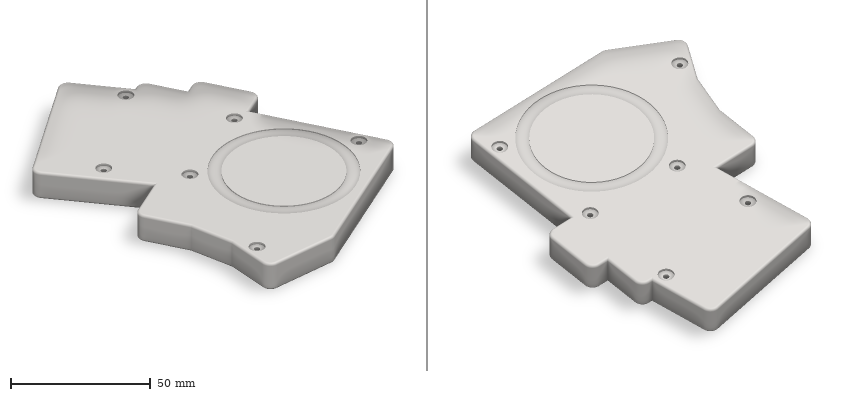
import cadquery as cq
import math

overall_length = 126.4
thickness = 11.4
corner_radius = 3.7
rim_round = 1.0

back_y = 32.4
tab_left_x = -50.3
tab_right_x = -25.2
tab_y = 44.6
step_left_x = -68.6
step_y = 36.9
notch_x = -41.0
front_y = -44.5

wing_tilt = 10.0
wing_width = 59.8
wing_corner = (-95.7, 27.0)

bend_angle = 15.0
first_bend_x = -19.3
second_bend_x = -2.0
tip_x = 16.2

ring_outer_diameter = 55.0
ring_inner_diameter = 45.0
ring_depth = 0.5

hole_diameter = 2.3
counterbore_diameter = 6.1
counterbore_depth = 1.0
hole_centers = [
    (-70.2, 26.4),
    (-28.5, 25.9),
    (18.6, 27.7),
    (-31.0, -13.7),
    (-61.4, -20.6),
    (7.7, -49.2),
]


def point_at_x(start, angle, x):
    """Point at the given x on the line through start at an angle in degrees."""
    return (x, start[1] + (x - start[0]) * math.tan(math.radians(angle)))


tilt = math.radians(wing_tilt)
wing_front_corner = (
    wing_corner[0] + wing_width * math.sin(tilt),
    wing_corner[1] - wing_width * math.cos(tilt),
)
wing_back_end = point_at_x(wing_corner, wing_tilt, step_left_x)
wing_front_end = point_at_x(wing_front_corner, wing_tilt, notch_x)

left_x = wing_corner[0] + corner_radius * (math.cos(tilt) + math.sin(tilt) - 1)
right_x = left_x + overall_length

first_bend = (first_bend_x, front_y)
second_bend = point_at_x(first_bend, -bend_angle, second_bend_x)
tip = point_at_x(second_bend, -2 * bend_angle, tip_x)
thumb_corner = point_at_x(tip, 90 - 2 * bend_angle, right_x)

outline = [
    (wing_corner, True),
    (wing_back_end, False),
    ((step_left_x, step_y), True),
    ((tab_left_x, step_y), False),
    ((tab_left_x, tab_y), True),
    ((tab_right_x, tab_y), True),
    ((tab_right_x, back_y), False),
    ((right_x, back_y), True),
    (thumb_corner, True),
    (tip, True),
    (second_bend, False),
    (first_bend, False),
    ((notch_x, front_y), True),
    (wing_front_end, False),
    (wing_front_corner, True),
]


def make_plate():
    """Plate with its outer corners and its top and bottom rims rounded."""
    plate = cq.Workplane("XY").polyline([corner for corner, _ in outline]).close().extrude(thickness)
    rounded_edges = [
        plate.edges(cq.selectors.NearestToPointSelector((x, y, thickness / 2))).val()
        for (x, y), rounded in outline
        if rounded
    ]
    plate = plate.newObject(rounded_edges).fillet(corner_radius)
    return plate.faces("<Z or >Z").edges().fillet(rim_round)


def make_ring_groove():
    """Shallow ring removed from the top face."""
    return (
        cq.Workplane("XY", origin=(0, 0, thickness - ring_depth))
        .circle(ring_outer_diameter / 2)
        .circle(ring_inner_diameter / 2)
        .extrude(ring_depth)
    )


result = (
    make_plate()
    .cut(make_ring_groove())
    .faces(">Z")
    .workplane(origin=(0, 0, thickness))
    .pushPoints(hole_centers)
    .cboreHole(hole_diameter, counterbore_diameter, counterbore_depth)
)